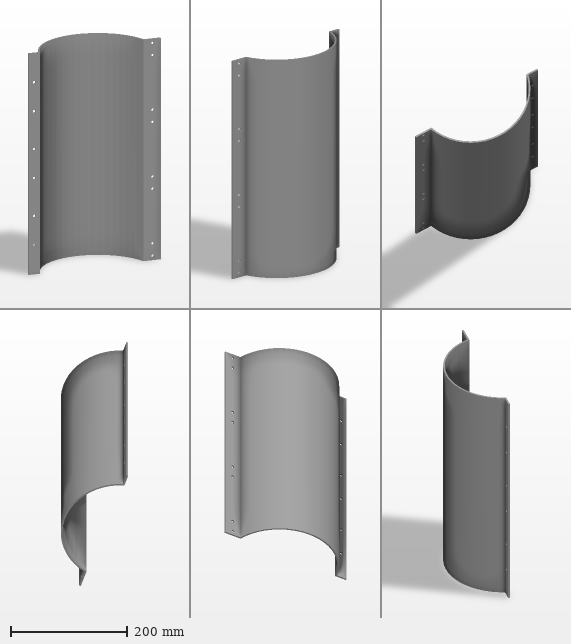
import cadquery as cq
import math

height = 398.0
thickness = 3.0
outer_radius = 103.0
inner_radius = outer_radius - thickness

overall_depth = 78.0
flange_step = 5.0
wide_tip = 127.8
overall_width = 245.5
narrow_tip = overall_width - wide_tip
narrow_back_x = overall_depth - outer_radius
wide_back_x = narrow_back_x - flange_step
narrow_front_x = narrow_back_x - thickness
wide_front_x = wide_back_x - thickness

hole_diameter = 5.0
pair_pitch = 120.0
wide_pairs = 4
wide_pair_gap = 22.0
wide_hole_inset = 15.0
narrow_pairs = 3
narrow_pair_gap = 52.0
narrow_hole_inset = 10.5


def half_chord(radius, x):
    """Y distance from the axis to a circle at the given X."""
    return math.sqrt(radius**2 - x**2)


def bracket():
    """Extrude the shell and its two flanges as one profile."""
    return (
        cq.Workplane("XY")
        .moveTo(wide_front_x, half_chord(outer_radius, wide_front_x))
        .threePointArc(
            (-outer_radius, 0),
            (narrow_front_x, -half_chord(outer_radius, narrow_front_x)),
        )
        .lineTo(narrow_front_x, -narrow_tip)
        .lineTo(narrow_back_x, -narrow_tip)
        .lineTo(narrow_back_x, -half_chord(inner_radius, narrow_back_x))
        .threePointArc(
            (-inner_radius, 0),
            (wide_back_x, half_chord(inner_radius, wide_back_x)),
        )
        .lineTo(wide_back_x, wide_tip)
        .lineTo(wide_front_x, wide_tip)
        .close()
        .extrude(height)
    )


def flange_holes(y, front_x, pair_count, pair_gap):
    """Cutters for the hole pairs through one flange."""
    points = []
    for pair in range(pair_count):
        pair_z = height / 2 + (pair - (pair_count - 1) / 2) * pair_pitch
        points += [(y, pair_z - pair_gap / 2), (y, pair_z + pair_gap / 2)]
    return (
        cq.Workplane("YZ", origin=(front_x, 0, 0))
        .pushPoints(points)
        .circle(hole_diameter / 2)
        .extrude(thickness)
    )


wide_holes = flange_holes(wide_tip - wide_hole_inset, wide_front_x, wide_pairs, wide_pair_gap)
narrow_holes = flange_holes(
    narrow_hole_inset - narrow_tip, narrow_front_x, narrow_pairs, narrow_pair_gap
)
result = bracket().cut(wide_holes).cut(narrow_holes)